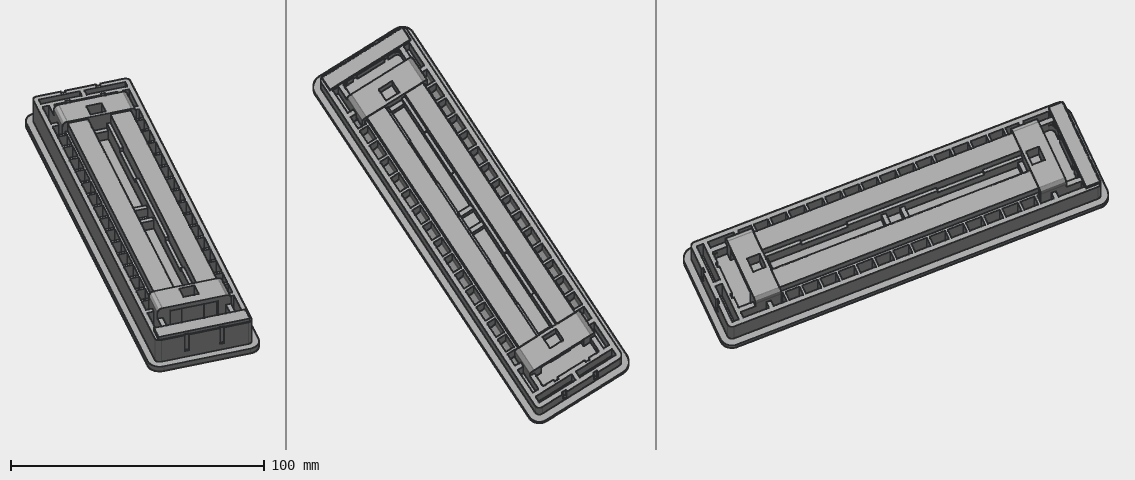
import cadquery as cq
LENGTH = 166.0
WIDTH = 46.0
FLANGE_BOTTOM = 2.0
FLANGE_TOP = 4.5
FLANGE_CORNER = 5.0
HOUSING_TOP = 15.5
HOUSING_LENGTH = 160.0
HOUSING_WIDTH = 40.2
HOUSING_CORNER = 2.0
PANEL_LENGTH = 156.4
PANEL_WIDTH = 35.4
PANEL_CORNER = 9.6
PANEL_ROUND = 1.7

POCKET_FLOOR = FLANGE_TOP
POCKET_OUTER_Y = 18.0
END_SLOT_INNER_X = 75.0
END_SLOT_OUTER_X = 77.9
END_SLOT_INNER_Y = 1.0
SIDE_POCKET_INNER_X = 62.1
SIDE_POCKET_INNER_Y = 15.3

TROUGH_INNER_Y = 14.1
TROUGH_ROW_END_X = 60.1
RIB_PITCH = 7.8
RIB_THICKNESS = 1.2
REGULAR_RIBS = 5
END_RIBS_X = (46.8, 54.0)

WELL_END_X = 73.0
WELL_HALF_WIDTH = 13.1
WELL_CORNER = 2.0
WELL_CORNER_TOP = 13.3
WELL_FLOOR = 8.8
RAIL_INNER_Y = 4.6
RAIL_TOP = 19.5
LEDGE_INNER_Y = 3.2
LEDGE_TOP = 15.3
LEDGE_LOW_TOP = 13.6
LEDGE_DIP_START_X = 19.3
LEDGE_DIP_END_X = 39.2
CROSSBAR_TOP = 13.0
CROSSBAR_INNER_X = 3.0
CROSSBAR_THICKNESS = 2.0
END_CROSSBAR_X = 53.6

CAP_TOP = 20.3
CAP_INNER_X = 55.6
CAP_OUTER_X = 66.7
CAP_HALF_WIDTH = SIDE_POCKET_INNER_Y
CAP_ROUND = 2.0
CAP_WINDOW_HALF_WIDTH = 10.0
CAP_WINDOW_TOP = 18.1
CAP_WINDOW_DEPTH = 2.0
CAP_CORE_STEP = 0.3
CAP_HOLE_INNER_X = 57.1
CAP_HOLE_OUTER_X = 62.5

NOTCH_Y = 7.3
NOTCH_WIDTH = 1.8
NOTCH_DEPTH = 0.8
NOTCH_BOTTOM = 7.5

STRIP_INNER_X = 73.5
STRIP_OUTER_X = 79.5
STRIP_WIDTH = 37.8
STRIP_TOP = 17.0


def block(x_range, y_range, z_range):
    """Box between two limits along each axis, given in either order."""
    low = [min(limits) for limits in (x_range, y_range, z_range)]
    size = [abs(b - a) for a, b in (x_range, y_range, z_range)]
    return cq.Workplane("XY").box(*size, centered=False).translate(tuple(low))


def rounded_plate(length, width, corner, bottom, top):
    """Centred plate with rounded upright corners."""
    plate = block((-length / 2, length / 2), (-width / 2, width / 2), (bottom, top))
    return plate.edges("|Z").fillet(corner)


def make_base():
    panel = rounded_plate(PANEL_LENGTH, PANEL_WIDTH, PANEL_CORNER, 0, FLANGE_BOTTOM)
    panel = panel.faces("<Z").edges().fillet(PANEL_ROUND)
    flange = rounded_plate(LENGTH, WIDTH, FLANGE_CORNER, FLANGE_BOTTOM, FLANGE_TOP)
    walls = rounded_plate(HOUSING_LENGTH, HOUSING_WIDTH, HOUSING_CORNER, FLANGE_TOP, HOUSING_TOP)
    return panel.union(flange).union(walls)


def make_corner_pockets(x_side, y_side):
    """End slot and side pocket of one corner of the housing."""
    z_range = (POCKET_FLOOR, HOUSING_TOP)
    end_slot = block(
        (x_side * END_SLOT_INNER_X, x_side * END_SLOT_OUTER_X),
        (y_side * END_SLOT_INNER_Y, y_side * POCKET_OUTER_Y),
        z_range,
    )
    side_pocket = block(
        (x_side * SIDE_POCKET_INNER_X, x_side * WELL_END_X),
        (y_side * SIDE_POCKET_INNER_Y, y_side * POCKET_OUTER_Y),
        z_range,
    )
    return end_slot.union(side_pocket)


def make_notches(x_side, y_side):
    """Notches in the outer end face and in the end of the well."""
    y_range = (y_side * NOTCH_Y - NOTCH_WIDTH / 2, y_side * NOTCH_Y + NOTCH_WIDTH / 2)
    end_x = HOUSING_LENGTH / 2
    z_range = (NOTCH_BOTTOM, HOUSING_TOP)
    outer = block((x_side * (end_x - NOTCH_DEPTH), x_side * end_x), y_range, z_range)
    well_z_range = (WELL_FLOOR, HOUSING_TOP)
    inner = block((x_side * WELL_END_X, x_side * (WELL_END_X + NOTCH_DEPTH)), y_range, well_z_range)
    return outer.union(inner)


def make_trough_row(y_side):
    """One long round-floored trough, divided by ribs."""
    width = POCKET_OUTER_Y - TROUGH_INNER_Y
    middle_y = y_side * (POCKET_OUTER_Y + TROUGH_INNER_Y) / 2
    x_range = (-TROUGH_ROW_END_X, TROUGH_ROW_END_X)
    y_range = (middle_y - width / 2, middle_y + width / 2)
    axis_z = POCKET_FLOOR + width / 2
    floor = (
        cq.Workplane("YZ", origin=(-TROUGH_ROW_END_X, middle_y, axis_z))
        .circle(width / 2)
        .extrude(2 * TROUGH_ROW_END_X)
    )
    row = block(x_range, y_range, (axis_z, HOUSING_TOP)).union(floor)
    regular = [i * RIB_PITCH for i in range(-REGULAR_RIBS, REGULAR_RIBS + 1)]
    ends = [side * x for side in (-1, 1) for x in END_RIBS_X]
    for x in regular + ends:
        rib_range = (x - RIB_THICKNESS / 2, x + RIB_THICKNESS / 2)
        row = row.cut(block(rib_range, y_range, (POCKET_FLOOR, HOUSING_TOP)))
    return row


def make_well():
    """Well with square corners above and rounded corners lower down."""
    lower = rounded_plate(
        2 * WELL_END_X, 2 * WELL_HALF_WIDTH, WELL_CORNER, WELL_FLOOR, WELL_CORNER_TOP
    )
    upper = block(
        (-WELL_END_X, WELL_END_X),
        (-WELL_HALF_WIDTH, WELL_HALF_WIDTH),
        (WELL_CORNER_TOP, HOUSING_TOP),
    )
    return lower.union(upper)


def make_rail(y_side):
    """Rail and the dipped ledge along its inner side."""
    rail_end = CAP_OUTER_X - CAP_WINDOW_DEPTH
    rail = block(
        (-rail_end, rail_end),
        (y_side * RAIL_INNER_Y, y_side * WELL_HALF_WIDTH),
        (WELL_FLOOR, RAIL_TOP),
    )
    ledge_y_range = (y_side * LEDGE_INNER_Y, y_side * RAIL_INNER_Y)
    ledge = block((-CAP_INNER_X, CAP_INNER_X), ledge_y_range, (WELL_FLOOR, LEDGE_TOP))
    for side in (-1, 1):
        dip_x_range = (side * LEDGE_DIP_START_X, side * LEDGE_DIP_END_X)
        ledge = ledge.cut(block(dip_x_range, ledge_y_range, (LEDGE_LOW_TOP, LEDGE_TOP)))
    return rail.union(ledge)


def make_crossbars(x_side):
    """Crossbar near the middle and the one against the cap."""
    y_range = (-LEDGE_INNER_Y, LEDGE_INNER_Y)
    z_range = (WELL_FLOOR, CROSSBAR_TOP)
    outer_x = CROSSBAR_INNER_X + CROSSBAR_THICKNESS
    middle = block((x_side * CROSSBAR_INNER_X, x_side * outer_x), y_range, z_range)
    end = block((x_side * END_CROSSBAR_X, x_side * CAP_INNER_X), y_range, z_range)
    return middle.union(end)


def make_cap(x_side):
    """Cap across both rails, with a stepped end window and a square hole in its top."""
    cap = block(
        (x_side * CAP_INNER_X, x_side * CAP_OUTER_X),
        (-CAP_HALF_WIDTH, CAP_HALF_WIDTH),
        (WELL_FLOOR, CAP_TOP),
    )
    cap = cap.faces(">Z").edges("|X").fillet(CAP_ROUND)
    window_x = CAP_OUTER_X - CAP_WINDOW_DEPTH
    window_z_range = (WELL_FLOOR, CAP_WINDOW_TOP)
    window = block(
        (x_side * window_x, x_side * CAP_OUTER_X),
        (-CAP_WINDOW_HALF_WIDTH, CAP_WINDOW_HALF_WIDTH),
        window_z_range,
    )
    core = block(
        (x_side * window_x, x_side * (window_x + CAP_CORE_STEP)),
        (-RAIL_INNER_Y, RAIL_INNER_Y),
        window_z_range,
    )
    hole = block(
        (x_side * CAP_HOLE_INNER_X, x_side * CAP_HOLE_OUTER_X),
        (-LEDGE_INNER_Y, LEDGE_INNER_Y),
        (CROSSBAR_TOP, CAP_TOP),
    )
    return cap.cut(window.cut(core)).cut(hole)


def make_housing():
    body = make_base().cut(make_well())
    sides = (-1, 1)
    for y_side in sides:
        body = body.cut(make_trough_row(y_side)).union(make_rail(y_side))
        for x_side in sides:
            body = body.cut(make_corner_pockets(x_side, y_side))
            body = body.cut(make_notches(x_side, y_side))
    for x_side in sides:
        body = body.union(make_crossbars(x_side)).union(make_cap(x_side))
    return body


def make_strip():
    return block(
        (STRIP_INNER_X, STRIP_OUTER_X),
        (-STRIP_WIDTH / 2, STRIP_WIDTH / 2),
        (HOUSING_TOP, STRIP_TOP),
    )


housing = make_housing()
strip = make_strip()

result = cq.Compound.makeCompound([*housing.solids().vals(), strip.val()])